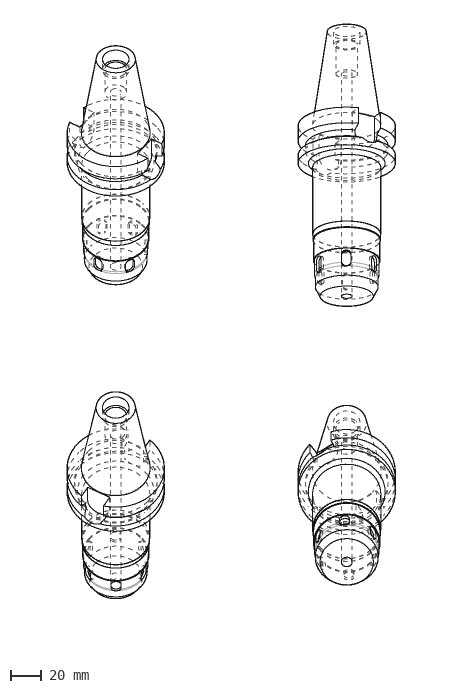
import cadquery as cq

total_height = 185.4
taper_length = 65.5
gauge_height = total_height - taper_length
flange_top = 119.4
groove_upper_edge = 108.5
groove_root_top = 105.7
groove_root_bottom = 101.5
groove_lower_edge = 98.8
flange_bottom = 93.0
ring_top = 43.5
ring_bottom = 39.3
collar_bottom = 25.0
nut_chamfer_top = 15.2
nut_chamfer_bottom = 13.0
nose_chamfer_top = 6.3

gauge_radius = 22.2
taper_ratio = 7 / 24
taper_end_radius = gauge_radius - taper_length * taper_ratio / 2
flange_radius = 31.5
groove_radius = 26.7
body_radius = 22.0
flange_chamfer = 2.8
ring_radius = 21.9
ring_chamfer = 0.4
collar_radius = 21.5
nut_radius = 21.0
nose_radius = 20.4
nose_end_radius = 17.2

entry_radius = 8.5
entry_depth = 9.3
thread_radius = 7.0
thread_depth = 29.7
coolant_radius = 3.5

keyway_radius = 8.2
keyway_floor = 22.5
keyway_bottom = 96.6

slot_count = 6
slot_width = 6.3
slot_length = 10.8
slot_floor = 19.0
slot_bottom = nut_chamfer_bottom

cut_reach = 2 * flange_radius


def turned_body():
    """Revolve the taper, grooved flange, shank, nut and nose."""
    profile = [
        (0, 0),
        (nose_end_radius, 0),
        (nose_radius, nose_chamfer_top),
        (nose_radius, nut_chamfer_bottom),
        (nut_radius, nut_chamfer_top),
        (nut_radius, collar_bottom),
        (collar_radius, collar_bottom),
        (collar_radius, ring_bottom),
        (ring_radius, ring_bottom + ring_chamfer),
        (ring_radius, ring_top),
        (body_radius, ring_top),
        (body_radius, flange_bottom - flange_chamfer),
        (body_radius + flange_chamfer, flange_bottom),
        (flange_radius, flange_bottom),
        (flange_radius, groove_lower_edge),
        (groove_radius, groove_root_bottom),
        (groove_radius, groove_root_top),
        (flange_radius, groove_upper_edge),
        (flange_radius, flange_top),
        (gauge_radius, flange_top),
        (gauge_radius, gauge_height),
        (taper_end_radius, total_height),
        (0, total_height),
    ]
    return cq.Workplane("XZ").polyline(profile).close().revolve(360, (0, 0), (0, 1))


def bore(radius, depth):
    """Cylinder running down the axis from the small end of the taper."""
    return cq.Workplane("XY").workplane(offset=total_height).circle(radius).extrude(-depth)


def keyway():
    """Radial cutter on +X, open at the top, with a round lower end."""
    arc_height = keyway_bottom + keyway_radius
    return (
        cq.Workplane("YZ")
        .workplane(offset=keyway_floor)
        .moveTo(-keyway_radius, gauge_height)
        .lineTo(-keyway_radius, arc_height)
        .threePointArc((0, keyway_bottom), (keyway_radius, arc_height))
        .lineTo(keyway_radius, gauge_height)
        .close()
        .extrude(cut_reach)
    )


def spanner_slot():
    """Upright rounded slot cutter on -Y with a flat floor."""
    return (
        cq.Workplane("XZ")
        .workplane(offset=slot_floor)
        .center(0, slot_bottom + slot_length / 2)
        .slot2D(slot_length, slot_width, 90)
        .extrude(cut_reach)
    )


def turn(shape, angle):
    return shape.rotate((0, 0, 0), (0, 0, 1), angle)


result = turned_body()
for bore_radius, bore_depth in (
    (entry_radius, entry_depth),
    (thread_radius, thread_depth),
    (coolant_radius, total_height),
):
    result = result.cut(bore(bore_radius, bore_depth))

for keyway_angle in (0, 180):
    result = result.cut(turn(keyway(), keyway_angle))

for slot_index in range(slot_count):
    result = result.cut(turn(spanner_slot(), slot_index * 360 / slot_count))